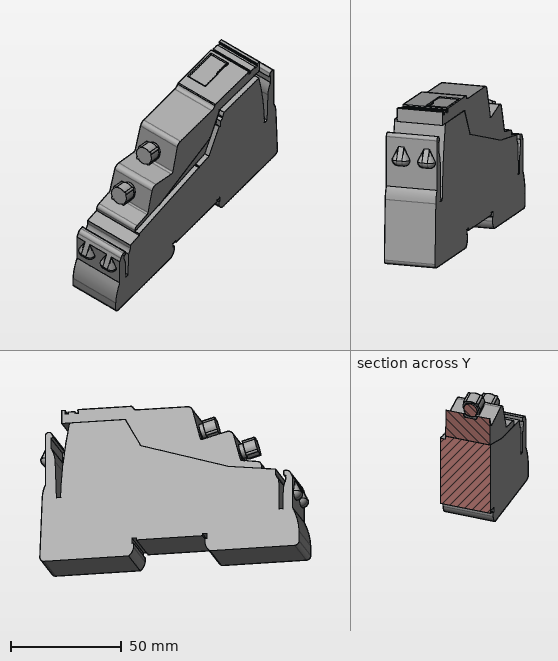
import cadquery as cq
import math


WIDTH = 24.3
LENGTH = 120.1
HEIGHT = 70.43
END_Y = LENGTH / 2
COVER_WIDTH = 21.9
BACK_FOOT_Y = 59.8
FOOT_FILLET = 2.0

ROOF_Z = 64.3
ROOF_BACK = (45.9, ROOF_Z)
ROOF_CREST = (20.2, ROOF_Z)
ROOF_KNEE = (13.06, 51.5)
ROOF_BEND = (-27.5, 39.1)
ROOF_FRONT = (-49.2, 36.45)

LEVER_FACE_Y = 57.1
BUTTON_RADIUS = END_Y - LEVER_FACE_Y
BUTTON_FLAT = 2.6
BUTTON_CONE = 5.9
FRONT_BUTTON_Z = 26.4
BACK_BUTTON_Z = 48.8
FRONT_BUTTON_XS = (6.0, 18.2)
BACK_BUTTON_XS = (4.9, 17.1)

LID_BACK_Y = 49.6
DECK_Z = 68.6
LEDGE_END_Y = -42.6
ROOF_FRONT_SLOPE = (ROOF_FRONT[1] - ROOF_BEND[1]) / (ROOF_FRONT[0] - ROOF_BEND[0])
SEAT_END_Z = ROOF_BEND[1] + (LEDGE_END_Y - ROOF_BEND[0]) * ROOF_FRONT_SLOPE
SHOULDER_FILLET = 2.5
NOSE_FILLET = 1.9
INNER_FILLET = 0.9
SIDE_DRAFT = 1.3
FACE_TILT = 15.0
FIRST_SHOULDER = (-10.25, DECK_Z)
FIRST_VALLEY = (-14.57, 52.45)
SECOND_SHOULDER = (-29.0, 56.35)
SECOND_VALLEY = (-33.05, 41.65)
NOSE = (LEDGE_END_Y, 40.4)

POCKET_X = (1.3, 11.2)
POCKET_Y = (23.0, 40.4)
POCKET_DEPTH = 0.4
POCKET_BEVEL = 0.5
POCKET_BEVEL_HEIGHT = 0.39
POCKET_NOTCH_WIDTH = 0.8
POCKET_NOTCH_LENGTH = 7.8
POCKET_NOTCH_DEPTH = 0.8

KNOB_X = 9.75
KNOB_CENTRES = ((-12.6, 59.25), (-31.1, 48.65))
NECK_RADIUS = 3.3
NECK_LENGTH = 2.2
RELIEF_DROP = 2.3
RELIEF_DEPTH = 0.3
KNOB_RADIUS = 4.15
KNOB_LENGTH = 5.7
KNOB_RIB_RADIUS = 0.65
KNOB_RIB_COUNT = 4

WALL_GROOVE_Y = 1.85
WALL_GROOVE_WIDTH = 0.5
WALL_GROOVE_FLOOR = 43.0
WALL_GROOVE_CLEARANCE = 2.0


def fillet_along_x(body, point, radius):
    """Round the edge that runs along X through the (Y, Z) point."""
    middle = body.val().BoundingBox().center.x
    edge = cq.selectors.NearestToPointSelector((middle, *point))
    return body.edges("|X").edges(edge).fillet(radius)


def housing_slice(x_start, thickness, roof):
    """Slab of the housing section; roof lists the (Y, Z) points from back to front."""
    outline = (
        cq.Workplane("YZ", origin=(x_start, 0, 0))
        .moveTo(*ROOF_FRONT)
        .lineTo(-49.2, 34.3)
        .threePointArc((-49.75, 32.8), (-50.65, 31.7))
        .lineTo(-50.9, 17.65)
        .lineTo(-52.6, 17.65)
        .lineTo(-52.8, 27.5)
        .lineTo(-53.8, 31.3)
        .lineTo(-53.8, 33.2)
        .lineTo(-52.9, 33.6)
        .lineTo(-53.0, 35.6)
        .lineTo(-54.2, 35.6)
        .threePointArc((-55.45, 35.1), (-56.25, 34.0))
        .lineTo(-LEVER_FACE_Y, 32.3)
        .lineTo(-LEVER_FACE_Y, 17.75)
        .threePointArc((-59.0, 13.0), (-END_Y, 6.6))
        .lineTo(-END_Y, 0)
        .lineTo(-18.9, 0)
        .threePointArc((-17.4, 1.6), (-16.6, 4.0))
        .lineTo(-16.6, 5.9)
        .lineTo(-17.5, 5.9)
        .lineTo(-17.5, 8.3)
        .lineTo(-15.4, 8.3)
        .lineTo(-15.4, 7.3)
        .lineTo(15.1, 7.3)
        .lineTo(15.1, 8.3)
        .lineTo(17.2, 8.3)
        .lineTo(17.2, 5.9)
        .lineTo(16.4, 5.9)
        .lineTo(16.4, 4.0)
        .threePointArc((17.2, 1.6), (18.7, 0))
        .lineTo(BACK_FOOT_Y, 0)
        .lineTo(58.6, 30.0)
        .threePointArc((58.1, 33.2), (LEVER_FACE_Y, 35.9))
        .lineTo(LEVER_FACE_Y, 58.9)
        .threePointArc((55.5, 60.5), (54.2, 59.8))
        .lineTo(53.5, 58.1)
        .lineTo(54.6, 57.6)
        .lineTo(54.6, 53.2)
        .threePointArc((53.2, 50.1), (52.6, 46.5))
        .lineTo(52.0, 29.6)
        .lineTo(50.1, 29.6)
        .lineTo(49.8, 35.9)
        .threePointArc((48.4, 50.3), ROOF_BACK)
    )
    for point in roof:
        outline = outline.lineTo(*point)
    body = outline.close().extrude(thickness)
    for end in (-END_Y, BACK_FOOT_Y):
        body = fillet_along_x(body, (end, 0), FOOT_FILLET)
    return body


def lever_button(x_centre, y_face, z_round):
    """Drop-shaped finger grip: a flat-sided middle between two rounded cones."""
    half_flat = BUTTON_FLAT / 2
    radius = BUTTON_RADIUS
    diagonal = radius * math.sqrt(0.5)

    half_cone = (
        cq.Workplane("YZ")
        .moveTo(0, BUTTON_CONE)
        .lineTo(radius, 0)
        .threePointArc((diagonal, -diagonal), (0, -radius))
        .close()
        .revolve(180, (0, 0, 0), (0, 1, 0))
    )
    middle = (
        cq.Workplane("YZ")
        .moveTo(0, BUTTON_CONE)
        .lineTo(radius, 0)
        .threePointArc((0, -radius), (-radius, 0))
        .close()
        .extrude(half_flat, both=True)
    )
    left_cone = half_cone.translate((-half_flat, 0, 0))
    button = middle.union(left_cone).union(left_cone.mirror("YZ"))
    return button.translate((x_centre, y_face, z_round))


seat_roof = [ROOF_CREST, ROOF_KNEE, ROOF_BEND]
wall_roof = [
    ROOF_CREST,
    (19.1, 62.3),
    (19.1, 61.4),
    (17.7, 60.5),
    (17.4, 57.0),
    (16.5, 57.9),
    (9.0, 44.4),
    (LEDGE_END_Y, 38.3),
    (LEDGE_END_Y, SEAT_END_Z),
]
housing = housing_slice(0, COVER_WIDTH, seat_roof).union(
    housing_slice(COVER_WIDTH, WIDTH - COVER_WIDTH, wall_roof)
)
wall_groove = (
    cq.Workplane("XY", origin=(COVER_WIDTH, WALL_GROOVE_Y, WALL_GROOVE_FLOOR))
    .rect(WIDTH - COVER_WIDTH, WALL_GROOVE_WIDTH, centered=(False, True))
    .extrude(WALL_GROOVE_CLEARANCE)
)
housing = housing.cut(wall_groove)
for x in FRONT_BUTTON_XS:
    housing = housing.union(lever_button(x, -LEVER_FACE_Y, FRONT_BUTTON_Z))
for x in BACK_BUTTON_XS:
    housing = housing.union(lever_button(x, LEVER_FACE_Y, BACK_BUTTON_Z))


def cover_block():
    """Stepped cover that sits on the housing roof."""
    groove_floor = 68.75
    groove_rail = 69.55
    body = (
        cq.Workplane("YZ")
        .moveTo(LID_BACK_Y, ROOF_Z)
        .lineTo(LID_BACK_Y, HEIGHT)
        .lineTo(48.1, HEIGHT)
        .lineTo(47.8, 69.9)
        .lineTo(48.1, 69.6)
        .lineTo(48.1, groove_floor)
        .lineTo(46.6, groove_floor)
        .lineTo(46.6, groove_rail)
        .lineTo(43.5, groove_rail)
        .lineTo(43.5, groove_floor)
        .lineTo(42.0, groove_floor)
        .lineTo(42.0, 69.6)
        .lineTo(42.3, 69.9)
        .lineTo(42.0, HEIGHT)
        .lineTo(17.4, HEIGHT)
        .lineTo(16.9, 70.1)
        .threePointArc((16.2, 69.05), (14.7, DECK_Z))
        .lineTo(*FIRST_SHOULDER)
        .lineTo(*FIRST_VALLEY)
        .lineTo(*SECOND_SHOULDER)
        .lineTo(*SECOND_VALLEY)
        .lineTo(*NOSE)
        .lineTo(LEDGE_END_Y, SEAT_END_Z)
        .lineTo(*ROOF_BEND)
        .lineTo(*ROOF_KNEE)
        .lineTo(*ROOF_CREST)
        .close()
        .extrude(COVER_WIDTH)
    )
    for shoulder in (FIRST_SHOULDER, SECOND_SHOULDER):
        body = fillet_along_x(body, shoulder, SHOULDER_FILLET)
    for valley in (FIRST_VALLEY, SECOND_VALLEY):
        body = fillet_along_x(body, valley, INNER_FILLET)
    return fillet_along_x(body, NOSE, NOSE_FILLET)


def draft_cutter():
    """Big block beside the cover, leaning over it about the sloping line of the seat."""
    size = 2 * LENGTH
    block = cq.Workplane("XY").box(size, size, size).translate((-size / 2, 0, 0))
    return block.rotate((0, *ROOF_BEND), (0, *ROOF_KNEE), SIDE_DRAFT)


def label_pocket():
    """Shallow pocket, bevelled on three sides, with a deeper notch in its inner back corner."""
    x_low, x_high = POCKET_X
    y_low, y_high = POCKET_Y
    length = y_high - y_low
    pocket = (
        cq.Workplane("XY", origin=(0, 0, HEIGHT))
        .moveTo((x_low + x_high) / 2, (y_low + y_high) / 2)
        .rect(x_high - x_low, length)
        .extrude(-POCKET_DEPTH)
        .faces("<Z")
        .edges("<X or <Y or >Y")
        .chamfer(POCKET_BEVEL_HEIGHT, POCKET_BEVEL)
    )
    notch = (
        cq.Workplane("XY", origin=(x_high, y_high, HEIGHT))
        .rect(-POCKET_NOTCH_WIDTH, -POCKET_NOTCH_LENGTH, centered=False)
        .extrude(-POCKET_NOTCH_DEPTH)
    )
    return pocket.union(notch)


def knob_face(y, z):
    """Plane on the tilted knob face, with its local Y up the face and its normal outward."""
    tilt = math.radians(FACE_TILT)
    return cq.Plane(
        origin=(KNOB_X, y, z),
        xDir=(1, 0, 0),
        normal=(0, -math.cos(tilt), math.sin(tilt)),
    )


def neck_relief(y, z):
    """Shallow obround recess that runs from the neck down the face."""
    return (
        cq.Workplane(knob_face(y, z))
        .center(0, -RELIEF_DROP / 2)
        .slot2D(RELIEF_DROP + 2 * NECK_RADIUS, 2 * NECK_RADIUS, 90)
        .extrude(-RELIEF_DEPTH)
    )


def knob(y, z):
    """Ribbed knob on a round neck, square to the tilted face at (y, z)."""
    face = knob_face(y, z)
    root = 1.0
    neck = cq.Workplane(face).workplane(offset=-root).circle(NECK_RADIUS).extrude(root + NECK_LENGTH)
    grip = cq.Workplane(face).workplane(offset=NECK_LENGTH)
    head = grip.circle(KNOB_RADIUS).extrude(KNOB_LENGTH)
    first_rib_angle = 180 / KNOB_RIB_COUNT
    ribs = (
        grip.polarArray(KNOB_RADIUS, first_rib_angle, 360, KNOB_RIB_COUNT)
        .circle(KNOB_RIB_RADIUS)
        .extrude(KNOB_LENGTH)
    )
    return neck.union(head).union(ribs)


left_draft = draft_cutter()
right_draft = left_draft.mirror("YZ").translate((COVER_WIDTH, 0, 0))
cover = cover_block().cut(left_draft).cut(right_draft).cut(label_pocket())
for centre in KNOB_CENTRES:
    cover = cover.cut(neck_relief(*centre)).union(knob(*centre))

result = cq.Compound.makeCompound([*housing.solids().vals(), *cover.solids().vals()])